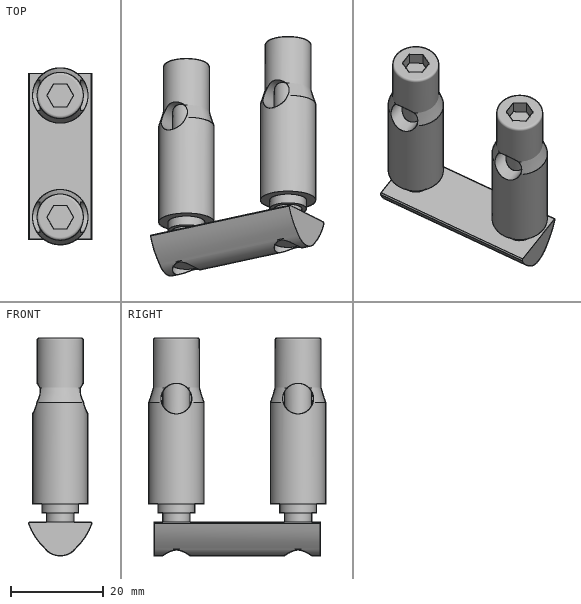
import cadquery as cq
import math

total_height = 47.3
total_length = 38.4

rail_length = 36.0
rail_width = 13.8
rail_height = 7.35
keel_radius = 4.25
keel_half_width = 3.35
flank_bulge = 0.4
rail_edge_drop = 0.3
rail_edge_inset = 0.3

sleeve_diameter = 12.0
head_diameter = 10.05
collar_diameter = 8.0
screw_diameter = 6.0
step_length = 2.0
sleeve_length = 22.0
cone_length = 3.1
head_edge_radius = 0.55

cross_hole_diameter = 6.6
cross_hole_height = 34.1

socket_across_flats = 5.0
socket_depth = 3.0
screw_end_height = 1.5

post_offset = (total_length - sleeve_diameter) / 2
collar_base = rail_height + step_length
sleeve_base = collar_base + step_length
cone_base = sleeve_base + sleeve_length
head_base = cone_base + cone_length


def cylinder(diameter, bottom, top):
    return cq.Workplane("XY").workplane(offset=bottom).circle(diameter / 2).extrude(top - bottom)


def make_rail():
    half_width = rail_width / 2
    edge_height = rail_height - rail_edge_drop
    keel_height = keel_radius - math.sqrt(keel_radius**2 - keel_half_width**2)

    rise = edge_height - keel_height
    run = half_width - keel_half_width
    chord = math.hypot(rise, run)
    flank_x = (half_width + keel_half_width) / 2 + flank_bulge * rise / chord
    flank_z = (edge_height + keel_height) / 2 - flank_bulge * run / chord

    return (
        cq.Workplane("XZ")
        .moveTo(-half_width + rail_edge_inset, rail_height)
        .lineTo(half_width - rail_edge_inset, rail_height)
        .lineTo(half_width, edge_height)
        .threePointArc((flank_x, flank_z), (keel_half_width, keel_height))
        .threePointArc((0, 0), (-keel_half_width, keel_height))
        .threePointArc((-flank_x, flank_z), (-half_width, edge_height))
        .close()
        .extrude(rail_length / 2, both=True)
    )


def make_post():
    head = cylinder(head_diameter, head_base, total_height).faces(">Z").edges().fillet(head_edge_radius)
    cone = (
        cq.Workplane("XY")
        .workplane(offset=cone_base)
        .circle(sleeve_diameter / 2)
        .workplane(offset=cone_length)
        .circle(head_diameter / 2)
        .loft()
    )
    cross_hole = (
        cq.Workplane("YZ")
        .center(0, cross_hole_height)
        .circle(cross_hole_diameter / 2)
        .extrude(sleeve_diameter, both=True)
    )
    socket = (
        cq.Workplane("XY")
        .workplane(offset=total_height - socket_depth)
        .polygon(6, socket_across_flats / math.cos(math.pi / 6))
        .extrude(socket_depth)
    )
    sleeve = cylinder(sleeve_diameter, sleeve_base, cone_base)
    collar = cylinder(collar_diameter, collar_base, sleeve_base)
    screw = cylinder(screw_diameter, screw_end_height, total_height - socket_depth)
    return sleeve.union(cone).union(head).cut(cross_hole).union(collar).union(screw).cut(socket)


result = make_rail()
for post_y in (-post_offset, post_offset):
    screw_hole = cylinder(screw_diameter, 0, screw_end_height).translate((0, post_y, 0))
    result = result.cut(screw_hole).union(make_post().translate((0, post_y, 0)))